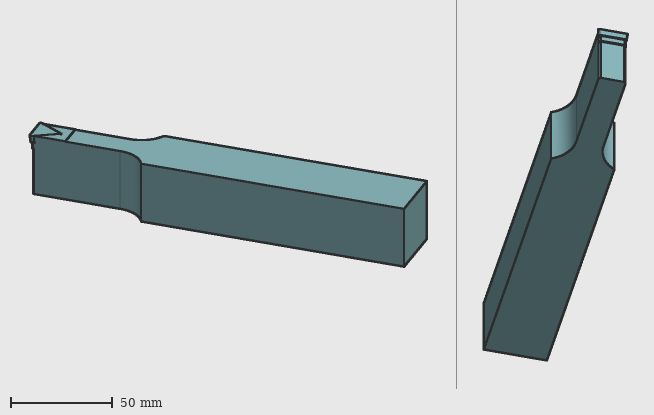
import cadquery as cq
import math

overall_length = 200.0
shank_width = 32.0
shank_height = 32.0

neck_width = 13.8
neck_end_x = 47.5
shoulder_radius = 16.0

nose_x = 1.5
nose_chamfer = 1.0
head_end_x = 18.8
head_rise = 0.2

insert_circle = 9.5
insert_corner_radius = 0.8
insert_thickness = 3.8
insert_relief_angle = 4.0
seat_thickness = 3.5
seat_x = 0.8

head_top = shank_height + head_rise
insert_bottom = head_top - insert_thickness
seat_bottom = insert_bottom - seat_thickness


def make_insert():
    """Equilateral insert with its cutting edge at X = 0 and one corner pointing along +X.

    All sides lean inward toward the bottom. The two front corners are rounded, the rear one is sharp.
    """
    tip_x = 1.5 * insert_circle
    half_side = insert_circle * math.sqrt(3) / 2
    return (
        cq.Workplane("XY", origin=(0, 0, head_top))
        .polyline([(0, -half_side), (tip_x, 0), (0, half_side)])
        .close()
        .extrude(-insert_thickness, taper=insert_relief_angle)
        .faces("<X")
        .edges("not |Y")
        .fillet(insert_corner_radius)
    )


def nose_block(front_x, back_x, bottom, height):
    """Block across the neck with both vertical front edges chamfered."""
    return (
        cq.Workplane("XY", origin=(front_x, 0, bottom))
        .box(back_x - front_x, neck_width, height, centered=(False, True, False))
        .edges("|Z and <X")
        .chamfer(nose_chamfer)
    )


def make_body_blank():
    """Shank, shoulders and chamfered neck as one extruded outline."""
    half_neck = neck_width / 2
    half_shank = shank_width / 2
    shoulder_depth = half_shank - half_neck
    sweep = math.acos(1 - shoulder_depth / shoulder_radius)
    shoulder_end_x = neck_end_x + shoulder_radius * math.sin(sweep)
    arc_mid_x = neck_end_x + shoulder_radius * math.sin(sweep / 2)
    arc_mid_y = half_neck + shoulder_radius * (1 - math.cos(sweep / 2))
    return (
        cq.Workplane("XY")
        .moveTo(nose_x, -half_neck)
        .lineTo(neck_end_x, -half_neck)
        .threePointArc((arc_mid_x, -arc_mid_y), (shoulder_end_x, -half_shank))
        .lineTo(overall_length, -half_shank)
        .lineTo(overall_length, half_shank)
        .lineTo(shoulder_end_x, half_shank)
        .threePointArc((arc_mid_x, arc_mid_y), (neck_end_x, half_neck))
        .lineTo(nose_x, half_neck)
        .close()
        .extrude(shank_height)
        .edges("|Z and <X")
        .chamfer(nose_chamfer)
    )


insert = make_insert()

head_pad = nose_block(nose_x, head_end_x, shank_height, head_rise)
seat = nose_block(seat_x, head_end_x, seat_bottom, seat_thickness)
holder = make_body_blank().union(head_pad).union(seat).cut(insert)

result = cq.Compound.makeCompound([holder.val(), insert.val()])